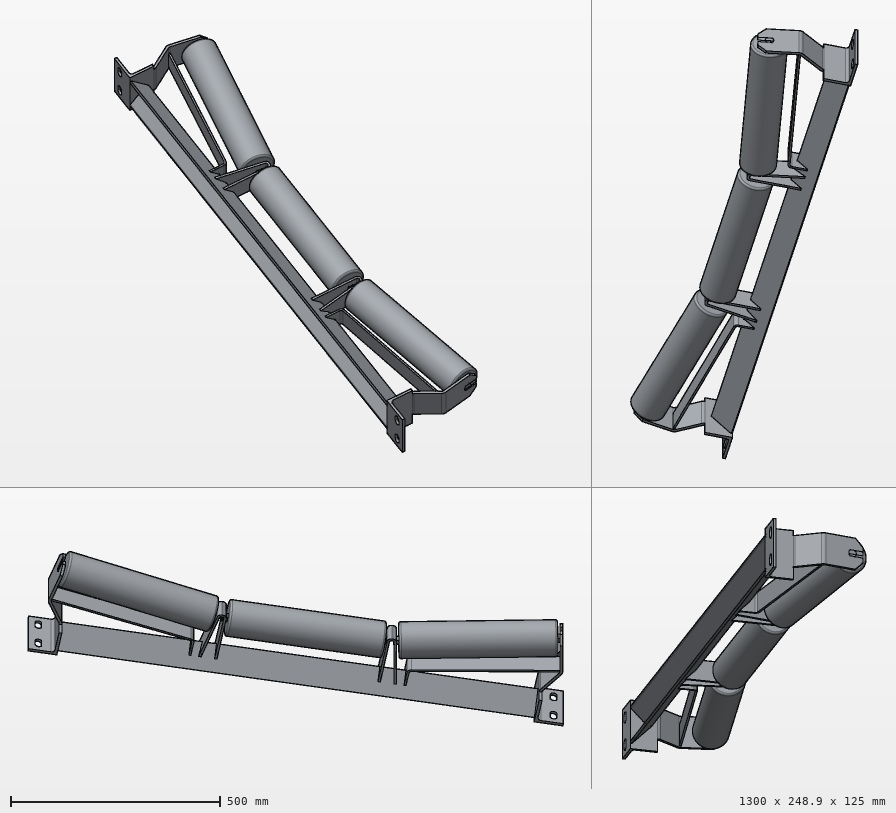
import cadquery as cq
import math

OVERALL_LENGTH = 1300.0

BEAM_LENGTH = 1160.0
BEAM_LEG = 70.0
BEAM_LEG_THICKNESS = 7.0
BEAM_ROOT_RADIUS = 9.0
BEAM_TOE_RADIUS = 4.5

ROLLER_DIAMETER = 89.0
ROLLER_LENGTH = 380.0
ROLLER_EDGE_RADIUS = 5.0
SHAFT_DIAMETER = 20.0
SHAFT_FLATS = 16.0
END_GAP = 5.5
CENTRE_AXIS_Y = 135.5
WING_ANGLE = 10.0
WING_INNER_END = 246.8
WING_AXIS_HEIGHT = 98.53
WING_OUTER_Z = 10.0

BRACKET_SHEET = 7.0
BRACKET_BEND_RADIUS = 8.0
FLANGE_HEIGHT = 125.0
STEP_Y = 68.0
KNEE_LOW_Y = 71.0
KNEE_HIGH_HEIGHT = 23.5
ARM_WIDTH = 80.0
ARM_TIP_HEIGHT = 126.5
ARM_CHAMFER = 20.0
MOUNT_SLOT_LENGTH = 28.0
MOUNT_SLOT_WIDTH = 16.0
MOUNT_SLOT_Z = 35.0
MOUNT_SLOT_INSET = 24.0

STRUT_SHEET = 5.0
STRUT_WIDTH = 52.0
STRUT_HEIGHT = 26.0
STRUT_LEG_X = 261.5
STRUT_BEND_RADIUS = 6.0

SADDLE_SHEET = 6.0
SADDLE_WIDTH = 52.0
SADDLE_TOP_Y = 161.5
SADDLE_BEND_RADIUS = 4.0

SHAFT_OVERHANG = END_GAP + BRACKET_SHEET
SHAFT_LENGTH = ROLLER_LENGTH + 2 * SHAFT_OVERHANG
BEAM_APEX_Y = (BEAM_LEG + BEAM_LEG_THICKNESS - 2 * BEAM_TOE_RADIUS) / math.sqrt(2) + BEAM_TOE_RADIUS
WING_MIDDLE = WING_INNER_END + ROLLER_LENGTH / 2
ARM_MIDDLE = WING_INNER_END + ROLLER_LENGTH + END_GAP + BRACKET_SHEET / 2
SADDLE_WING_MIDDLE = WING_INNER_END - END_GAP - SADDLE_SHEET / 2
SADDLE_LEG_X = ROLLER_LENGTH / 2 + END_GAP + SADDLE_SHEET / 2
WING_LEAN = math.degrees(math.atan(WING_OUTER_Z / (ARM_MIDDLE - SADDLE_WING_MIDDLE)))
WING_MIDDLE_Z = (WING_MIDDLE - SADDLE_WING_MIDDLE) * math.tan(math.radians(WING_LEAN))
COS_WING = math.cos(math.radians(WING_ANGLE))
SIN_WING = math.sin(math.radians(WING_ANGLE))


def wing_point(along, height):
    """XY of a point on the left wing, given along the wing and square to it."""
    return (-along * COS_WING + height * SIN_WING, along * SIN_WING + height * COS_WING)


def wing_point_at_y(along, y):
    return wing_point(along, (y - along * SIN_WING) / COS_WING)


def wing_point_at_x(height, x):
    return wing_point((height * SIN_WING - x) / COS_WING, height)


def left_side(points, shift, middle_radius):
    """The side of a bent sheet that lies `shift` to the left of its middle line.

    Returns the side's start, the entry, middle and exit of each bend's arc, and the side's end.
    """
    vectors = [cq.Vector(*point) for point in points]
    runs = [(b - a).normalized() for a, b in zip(vectors, vectors[1:])]
    lefts = [cq.Vector(-run.y, run.x) for run in runs]
    bends = []
    for i, corner in enumerate(vectors[1:-1]):
        turn = math.atan2(runs[i].cross(runs[i + 1]).z, runs[i].dot(runs[i + 1]))
        hand = math.copysign(1, turn)
        setback = middle_radius * math.tan(abs(turn) / 2)
        centre = corner - runs[i] * setback + lefts[i] * (hand * middle_radius)
        spoke = shift - hand * middle_radius
        halfway = (lefts[i] + lefts[i + 1]).normalized()
        bends.append([centre + way * spoke for way in (lefts[i], halfway, lefts[i + 1])])
    return vectors[0] + lefts[0] * shift, bends, vectors[-1] + lefts[-1] * shift


def bent_sheet(points, thickness, width, bend_radius):
    """Sheet of constant thickness along a middle line in XY, `width` wide across Z = 0."""
    middle_radius = bend_radius + thickness / 2
    outline = None
    for direction in (points, points[::-1]):
        start, bends, end = left_side(direction, thickness / 2, middle_radius)
        if outline is None:
            outline = cq.Workplane("XY").moveTo(start.x, start.y)
        else:
            outline = outline.lineTo(start.x, start.y)
        for entry, middle, leave in bends:
            outline = outline.lineTo(entry.x, entry.y)
            outline = outline.threePointArc((middle.x, middle.y), (leave.x, leave.y))
        outline = outline.lineTo(end.x, end.y)
    return outline.close().extrude(width).translate((0, 0, -width / 2))


def on_left_wing(body):
    x, y = wing_point(WING_MIDDLE, WING_AXIS_HEIGHT)
    leaned = body.rotate((0, 0, 0), (0, 1, 0), WING_LEAN)
    return leaned.rotate((0, 0, 0), (0, 0, 1), -WING_ANGLE).translate((x, y, WING_MIDDLE_Z))


def at_centre(body):
    return body.translate((0, CENTRE_AXIS_Y, 0))


def rod(diameter, length):
    """Cylinder along X, centred on the origin."""
    return cq.Workplane("YZ", origin=(-length / 2, 0, 0)).circle(diameter / 2).extrude(length)


def make_roller():
    roller = rod(ROLLER_DIAMETER, ROLLER_LENGTH)
    roller = roller.faces("<X or >X").edges().fillet(ROLLER_EDGE_RADIUS)
    return roller.cut(rod(SHAFT_DIAMETER, ROLLER_LENGTH))


def make_shaft():
    """Round shaft whose ends, outside the roller, carry two flats facing +Z and -Z."""
    shaft = rod(SHAFT_DIAMETER, SHAFT_LENGTH)
    ends = cq.Workplane("XY").box(SHAFT_LENGTH, SHAFT_DIAMETER, SHAFT_FLATS)
    middle = cq.Workplane("XY").box(ROLLER_LENGTH, SHAFT_DIAMETER, SHAFT_DIAMETER)
    return shaft.intersect(ends.union(middle))


def make_beam():
    """Equal angle with its apex toward +Y."""
    angle = (
        cq.Workplane("YZ")
        .polyline([
            (0, 0), (-BEAM_LEG, 0), (-BEAM_LEG, -BEAM_LEG_THICKNESS),
            (-BEAM_LEG_THICKNESS, -BEAM_LEG_THICKNESS),
            (-BEAM_LEG_THICKNESS, -BEAM_LEG), (0, -BEAM_LEG),
        ])
        .close()
        .extrude(BEAM_LENGTH)
        .translate((-BEAM_LENGTH / 2, 0, 0))
    )
    root = cq.selectors.NearestToPointSelector((0, -BEAM_LEG_THICKNESS, -BEAM_LEG_THICKNESS))
    angle = angle.edges("|X").edges(root).fillet(BEAM_ROOT_RADIUS)
    for toe in [(-BEAM_LEG, -BEAM_LEG_THICKNESS), (-BEAM_LEG_THICKNESS, -BEAM_LEG)]:
        toe_edge = cq.selectors.NearestToPointSelector((0, *toe))
        angle = angle.edges("|X").edges(toe_edge).fillet(BEAM_TOE_RADIUS)
    return angle.rotate((0, 0, 0), (1, 0, 0), -45).translate((0, BEAM_APEX_Y, 0))


def beam_envelope():
    """Everything on the beam's side of its two outer faces."""
    return (
        cq.Workplane("YZ")
        .polyline([(BEAM_APEX_Y, 0), (0, BEAM_APEX_Y), (-BEAM_APEX_Y, 0), (0, -BEAM_APEX_Y)])
        .close()
        .extrude(BEAM_LENGTH)
        .translate((-BEAM_LENGTH / 2, 0, 0))
    )


def make_left_saddle():
    """Folded sheet astride the beam, carrying a centre shaft end and a wing shaft end."""
    top_y = SADDLE_TOP_Y - SADDLE_SHEET / 2
    path = [
        wing_point_at_y(SADDLE_WING_MIDDLE, 0),
        wing_point_at_y(SADDLE_WING_MIDDLE, top_y),
        (-SADDLE_LEG_X, top_y),
        (-SADDLE_LEG_X, 0),
    ]
    saddle = bent_sheet(path, SADDLE_SHEET, SADDLE_WIDTH, SADDLE_BEND_RADIUS)
    return saddle.cut(beam_envelope())


def make_left_bracket():
    outer_x = -OVERALL_LENGTH / 2
    plate_x = -(BEAM_LENGTH + BRACKET_SHEET) / 2
    path = [
        (plate_x, 0),
        (plate_x, KNEE_LOW_Y),
        wing_point(ARM_MIDDLE, KNEE_HIGH_HEIGHT),
        wing_point(ARM_MIDDLE, ARM_TIP_HEIGHT),
    ]
    bracket = bent_sheet(path, BRACKET_SHEET, FLANGE_HEIGHT, BRACKET_BEND_RADIUS)

    flange_length = OVERALL_LENGTH / 2 + plate_x
    flange_size = (flange_length, BRACKET_SHEET, FLANGE_HEIGHT)
    flange = cq.Workplane("XY").box(*flange_size, centered=(False, False, True))
    bracket = bracket.union(flange.translate((outer_x, 0, 0)))
    corner = cq.selectors.NearestToPointSelector((plate_x - BRACKET_SHEET / 2, BRACKET_SHEET, 0))
    bracket = bracket.edges("|Z").edges(corner).fillet(BRACKET_BEND_RADIUS)

    tip_y = wing_point(ARM_MIDDLE + BRACKET_SHEET / 2, ARM_TIP_HEIGHT)[1]
    arm_low = WING_OUTER_Z - ARM_WIDTH / 2
    arm_high = WING_OUTER_Z + ARM_WIDTH / 2
    profile = (
        cq.Workplane("YZ")
        .polyline([
            (0, -FLANGE_HEIGHT / 2), (STEP_Y, -FLANGE_HEIGHT / 2),
            (STEP_Y, arm_low), (tip_y - ARM_CHAMFER, arm_low),
            (tip_y, arm_low + ARM_CHAMFER), (tip_y, arm_high - ARM_CHAMFER),
            (tip_y - ARM_CHAMFER, arm_high), (STEP_Y, arm_high),
            (STEP_Y, FLANGE_HEIGHT / 2), (0, FLANGE_HEIGHT / 2),
        ])
        .close()
        .extrude(-OVERALL_LENGTH)
    )
    bracket = bracket.intersect(profile)

    mounts = (
        cq.Workplane("XZ")
        .pushPoints([(outer_x + MOUNT_SLOT_INSET, side * MOUNT_SLOT_Z) for side in (-1, 1)])
        .slot2D(MOUNT_SLOT_LENGTH, MOUNT_SLOT_WIDTH, 90)
        .extrude(BRACKET_SHEET, both=True)
    )
    return bracket.cut(mounts)


def make_left_strut():
    path = [
        wing_point(ARM_MIDDLE, STRUT_HEIGHT),
        wing_point_at_x(STRUT_HEIGHT, -STRUT_LEG_X),
        (-STRUT_LEG_X, 0),
    ]
    strut = bent_sheet(path, STRUT_SHEET, STRUT_WIDTH, STRUT_BEND_RADIUS)
    return strut.cut(beam_envelope())


def open_slot_cutter(shaft):
    """The shaft and the room above it, through which it is lowered in from the +Y side."""
    room = cq.Workplane("XY").box(SHAFT_LENGTH, ROLLER_DIAMETER, SHAFT_FLATS, centered=(True, False, True))
    return shaft.union(room)


def mirrored(body):
    return body.mirror("YZ")


roller = make_roller()
shaft = make_shaft()
rollers = [at_centre(roller), on_left_wing(roller), mirrored(on_left_wing(roller))]
shafts = [at_centre(shaft), on_left_wing(shaft), mirrored(on_left_wing(shaft))]

left_saddle = make_left_saddle().cut(shafts[0]).cut(shafts[1])
beam = make_beam().union(left_saddle).union(mirrored(left_saddle))

left_support = make_left_bracket().union(make_left_strut())
left_support = left_support.cut(on_left_wing(open_slot_cutter(shaft)))
supports = [left_support, mirrored(left_support)]

result = cq.Compound.makeCompound([body.val() for body in [beam, *supports, *rollers, *shafts]])